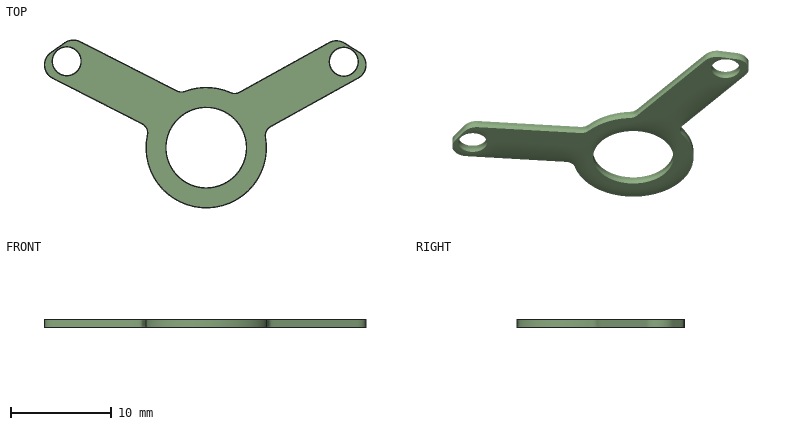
import cadquery as cq
import math

THICKNESS = 0.81
RING_OUTER_DIAMETER = 12.0
RING_BORE_DIAMETER = 8.0

ARM_WIDTH = 4.5
ARM_CORNER_RADIUS = 1.5
ROOT_FILLET_RADIUS = 1.0
TIP_HOLE_DIAMETER = 2.85
TIP_HOLE_TO_END = 1.62

RIGHT_ARM = {"side": 1, "rise": 29.0, "offset": 0.97, "end_slope": 32.0, "hole": (13.69, 8.55)}
LEFT_ARM = {"side": -1, "rise": 27.0, "offset": 1.46, "end_slope": 35.2, "hole": (13.89, 8.60)}
ARMS = (RIGHT_ARM, LEFT_ARM)


def disc(diameter, center=(0, 0)):
    """Full-thickness round disc, used for the ring and to cut its holes."""
    return cq.Workplane("XY").center(*center).circle(diameter / 2).extrude(THICKNESS)


def hole_center(arm):
    """Plan position of the tip hole of an arm."""
    outward, ahead = arm["hole"]
    return (arm["side"] * outward, ahead)


def edge_end_corner(arm, edge_offset):
    """Point where an arm edge line meets the slanted end line."""
    rise = math.radians(arm["rise"])
    slope = math.radians(arm["end_slope"])
    outward, ahead = arm["hole"]
    end_distance = outward * math.sin(slope) + ahead * math.cos(slope) + TIP_HOLE_TO_END
    reach = (end_distance - edge_offset * math.cos(rise + slope)) / math.sin(rise + slope)
    return along_edge(arm, edge_offset, reach)


def along_edge(arm, edge_offset, reach):
    """Point at a given reach along a line parallel to the arm."""
    rise = math.radians(arm["rise"])
    outward = reach * math.cos(rise) - edge_offset * math.sin(rise)
    ahead = reach * math.sin(rise) + edge_offset * math.cos(rise)
    return (arm["side"] * outward, ahead)


def make_arm(arm):
    """Straight arm from beside the ring centre out to its rounded, slanted end."""
    upper = arm["offset"] + ARM_WIDTH / 2
    lower = arm["offset"] - ARM_WIDTH / 2
    lower_tip = edge_end_corner(arm, lower)
    upper_tip = edge_end_corner(arm, upper)
    outline = [along_edge(arm, lower, 0), lower_tip, upper_tip, along_edge(arm, upper, 0)]
    blank = cq.Workplane("XY").polyline(outline).close().extrude(THICKNESS)
    tip_corners = edges_near(blank, [lower_tip, upper_tip])
    return tip_corners.fillet(ARM_CORNER_RADIUS)


def edges_near(body, points):
    """Vertical edges of the body standing nearest to the given plan points."""
    picked = body.newObject([])
    for x, y in points:
        nearest = cq.selectors.NearestToPointSelector((x, y, THICKNESS / 2))
        picked = picked.add(body.edges("|Z").edges(nearest))
    return picked


def root_points(arm):
    """Points where the arm edges leave the ring."""
    radius = RING_OUTER_DIAMETER / 2
    edges = (arm["offset"] + ARM_WIDTH / 2, arm["offset"] - ARM_WIDTH / 2)
    return [along_edge(arm, edge, math.sqrt(radius**2 - edge**2)) for edge in edges]


body = disc(RING_OUTER_DIAMETER)
for arm in ARMS:
    body = body.union(make_arm(arm))

roots = [point for arm in ARMS for point in root_points(arm)]
body = edges_near(body, roots).fillet(ROOT_FILLET_RADIUS)

body = body.cut(disc(RING_BORE_DIAMETER))
for arm in ARMS:
    body = body.cut(disc(TIP_HOLE_DIAMETER, hole_center(arm)))

result = body